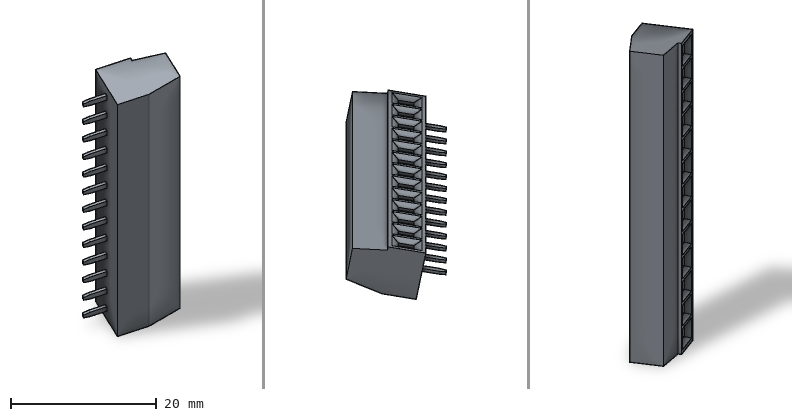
import cadquery as cq

POLES = 13
LENGTH = 46.2
END_MARGIN = 2.1
WIDTH = 7.3
DEPTH = 10.03

LEDGE_Y = 5.25
LEDGE_WIDTH = 0.5
BACK_LEFT_X = 1.1
BACK_RIGHT_X = 5.95
SLOPE_START_Y = 4.75

MOUTH_NEAR_Y = 0.55
MOUTH_FAR_Y = 4.7
MOUTH_HEIGHT = 3.05
THROAT_NEAR_Y = 1.52
THROAT_FAR_Y = 3.7
THROAT_HEIGHT = 2.0
FUNNEL_DEPTH = 0.75
RECESS_DEPTH = 0.4

PIN_X = 3.5
PIN_THICKNESS = 0.45
PIN_WIDTH = 0.9
PIN_LENGTH = 3.45
PIN_TIP_WIDTH = 0.55
PIN_TAPER_LENGTH = 0.95

pole_pitch = (LENGTH - 2 * END_MARGIN) / (POLES - 1)
pole_heights = [END_MARGIN + i * pole_pitch for i in range(POLES)]


def make_housing():
    """Cross-section in XY, extruded along the row of poles."""
    outline = [
        (0, 0),
        (WIDTH, 0),
        (WIDTH, SLOPE_START_Y),
        (BACK_RIGHT_X, DEPTH),
        (BACK_LEFT_X, DEPTH),
        (LEDGE_WIDTH, LEDGE_Y),
        (0, LEDGE_Y),
    ]
    return cq.Workplane("XY").polyline(outline).close().extrude(LENGTH)


def make_wire_entry(z):
    """Cutter for one wire entry, opening on the -X face."""
    mouth_y = (MOUTH_NEAR_Y + MOUTH_FAR_Y) / 2
    throat_y = (THROAT_NEAR_Y + THROAT_FAR_Y) / 2
    throat_length = THROAT_FAR_Y - THROAT_NEAR_Y
    funnel = (
        cq.Workplane("YZ", origin=(0, mouth_y, z))
        .rect(MOUTH_FAR_Y - MOUTH_NEAR_Y, MOUTH_HEIGHT)
        .workplane(offset=FUNNEL_DEPTH)
        .center(throat_y - mouth_y, 0)
        .rect(throat_length, THROAT_HEIGHT)
        .loft(ruled=True)
    )
    recess = (
        cq.Workplane("YZ", origin=(FUNNEL_DEPTH, throat_y, z))
        .rect(throat_length, THROAT_HEIGHT)
        .extrude(RECESS_DEPTH)
    )
    return funnel.union(recess)


def make_pin(z):
    """Flat pin below the -Y face with a tapered tip."""
    half_width = PIN_WIDTH / 2
    half_tip = PIN_TIP_WIDTH / 2
    taper_y = PIN_TAPER_LENGTH - PIN_LENGTH
    outline = [
        (0, -half_width),
        (taper_y, -half_width),
        (-PIN_LENGTH, -half_tip),
        (-PIN_LENGTH, half_tip),
        (taper_y, half_width),
        (0, half_width),
    ]
    return (
        cq.Workplane("YZ", origin=(PIN_X, 0, z))
        .polyline(outline)
        .close()
        .extrude(PIN_THICKNESS / 2, both=True)
    )


result = make_housing()
for pole_z in pole_heights:
    result = result.cut(make_wire_entry(pole_z))
    result = result.union(make_pin(pole_z))